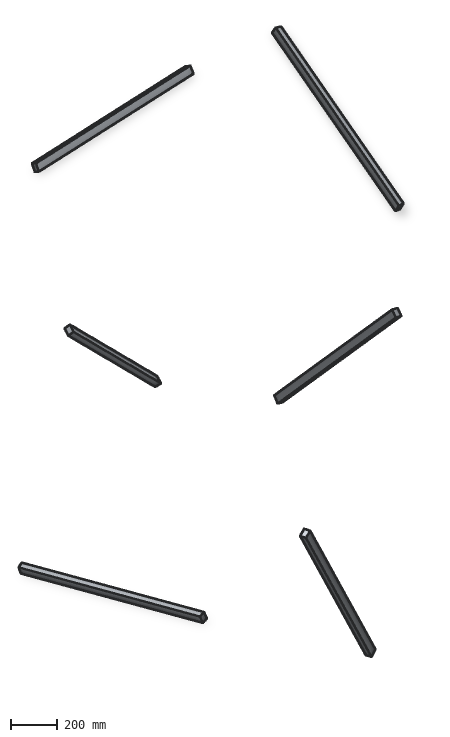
import cadquery as cq
import math

total_width = 132.0
total_length = 997.0
total_height = 49.0

section_width = 30.0
roll_angle = 28.0

lean_angle = 5.0
far_cut_angle = 10.0
loft_length = 1.1 * total_length

roll = math.radians(roll_angle)
lean_slope = math.tan(math.radians(lean_angle))
far_slope = math.tan(math.radians(far_cut_angle))

width_x = section_width * math.cos(roll)
width_z = section_width * math.sin(roll)
depth_z = total_height - width_z
depth_x = depth_z * math.tan(roll)
section_span = width_x + depth_x

near_y = -total_length / 2
far_y = total_length / 2
near_right = total_width / 2
far_right = near_right - lean_slope * total_length


def section_points(right_x):
    """Corners of the rolled rectangle whose +X corner is at right_x."""
    left_x = right_x - section_span
    top_z = total_height / 2
    return [
        (left_x, top_z - width_z),
        (left_x + width_x, top_z),
        (right_x, top_z - depth_z),
        (left_x + depth_x, -top_z),
    ]


def make_bar():
    """Leaning bar with a square near end, left overlong at the far end."""
    overlong_right = near_right - lean_slope * loft_length
    return (
        cq.Workplane("XZ", origin=(0, near_y, 0))
        .polyline(section_points(near_right)).close()
        .workplane(offset=-loft_length)
        .polyline(section_points(overlong_right)).close()
        .loft(ruled=True)
    )


def make_end_limit():
    """Block whose sloping +Y side trims the far end, +X corner at far_y."""
    side_x = total_width
    return (
        cq.Workplane("XY")
        .polyline([
            (-side_x, near_y),
            (side_x, near_y),
            (side_x, far_y + (side_x - far_right) * far_slope),
            (-side_x, far_y - (side_x + far_right) * far_slope),
        ])
        .close()
        .extrude(total_height, both=True)
    )


result = make_bar().intersect(make_end_limit())